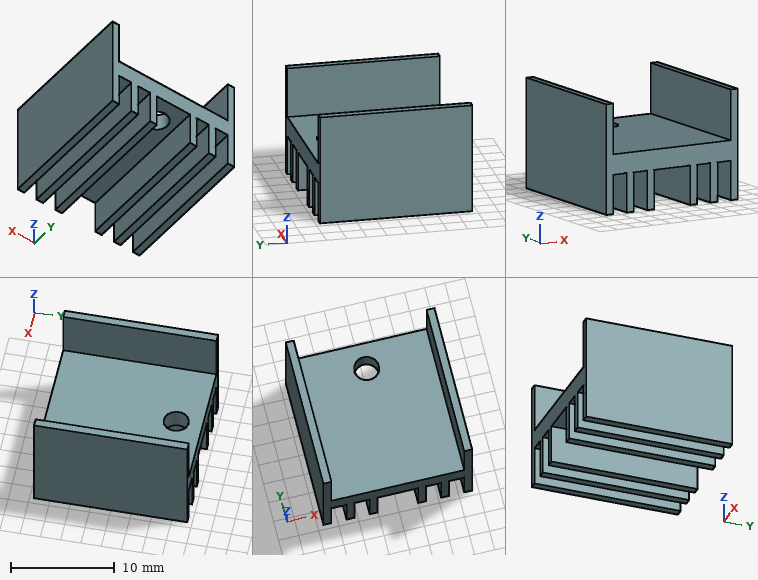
import cadquery as cq

width = 14.8
length = 15.1
height = 10.9

plate_bottom = 3.9
plate_top = 5.9

fin_thickness = 0.8
fin_pitch = 2.3
inner_fins_per_side = 2

hole_diameter = 2.4
hole_to_back = 2.6


def upright(center_x, upright_height):
    """Full-length vertical wall standing on the base plane."""
    return (
        cq.Workplane("XY")
        .center(center_x, 0)
        .rect(fin_thickness, length)
        .extrude(upright_height)
    )


wall_x = (width - fin_thickness) / 2

body = (
    cq.Workplane("XY")
    .workplane(offset=plate_bottom)
    .rect(width, length)
    .extrude(plate_top - plate_bottom)
)

for side in (-1, 1):
    body = body.union(upright(side * wall_x, height))
    for index in range(1, inner_fins_per_side + 1):
        fin_x = side * (wall_x - index * fin_pitch)
        body = body.union(upright(fin_x, plate_top))

hole = (
    cq.Workplane("XY")
    .center(0, length / 2 - hole_to_back)
    .circle(hole_diameter / 2)
    .extrude(height)
)

result = body.cut(hole)